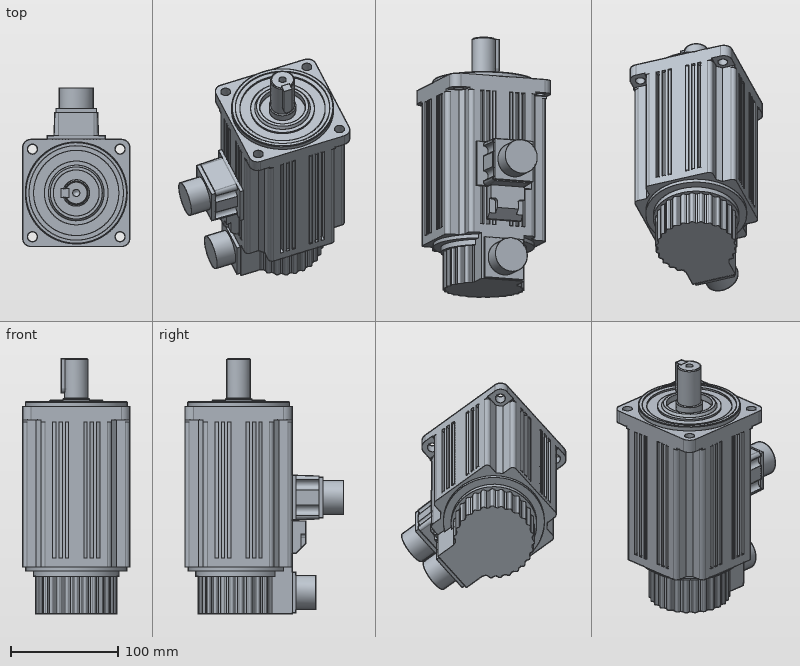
import cadquery as cq
import math


Z_TOP = 237.5
Z_BOSS = 199.0
Z_SHOULDER = 200.7
Z_PILOT = 197.5
Z_FLANGE = 193.0
Z_FLANGE_CORNER = 180.5
Z_GROOVE_TOP = 178.5
Z_GROOVE_BOTTOM = 52.0
Z_FRAME = 43.5
Z_COLLAR = 40.0
Z_DRUM = 35.0

SIDE = 100.0
HALF_SIDE = SIDE / 2
FLANGE_CORNER_R = 8.0
BOLT_SPACING = 81.5
BOLT_D = 9.0
PILOT_R = 47.5
PILOT_CHAMFER = 0.7
FACE_STEP = 1.2
FACE_RECESS = 1.7
FACE_OUTER_R = 44.0
FACE_INNER_R = 39.7
PLATFORM_R = 29.7
BOSS_BASE_R = 26.0
BOSS_TOP_R = 24.2
SEAL_BORE_R = 21.4
SEAL_BORE_DEPTH = 7.1
Z_BORE_FLOOR = Z_BOSS - SEAL_BORE_DEPTH

CORNER_EDGE_R = 4.0
NOTCH_WALL = 33.0
NOTCH_FACET = 37.5
GROOVE_FLOOR_R = 49.6
GROOVE_W = 3.0
GROOVE_PITCH = 6.0
FIRST_GROOVE_X = 8.5
GROOVES_PER_HALF = 3

SHAFT_D = 22.0
SHAFT_R = SHAFT_D / 2
SHAFT_CHAMFER = 1.0
SHOULDER_D = 24.7
SHOULDER_R = SHOULDER_D / 2
SHOULDER_CHAMFER = 0.7
SHOULDER_FOOT = 0.7
CENTRE_R = 3.3
CENTRE_DEPTH = 14.2
DRILL_ANGLE = 118
DRILL_POINT = CENTRE_R / math.tan(math.radians(DRILL_ANGLE / 2))
KEY_W = 8.0
KEY_H = 7.1
KEY_TOP = 14.0
KEY_LENGTH = 32.0

COLLAR_R = 47.0
NECK_R = 40.0
DRUM_ROOT_R = 35.9
DRUM_TOOTH_R = 37.8
TOOTH_COUNT = 27
TOOTH_OVERLAP = 2.4
TOOTH_BASE_HALF = 3.0
TOOTH_TOP_HALF = 1.78
TOOTH_SHOULDER_R = 36.8

PLATE_T = 3.3
SOCKET_R = 16.0
CAP_SIDE = 38.0
ENCODER_BOX_W = 42.3
ENCODER_BOX_Y = 23.8
ENCODER_Z = 20.0
ENCODER_SOCKET_Y = 72.0

POWER_Z = 108.3
POWER_PLATE_W = 54.2
HOUSING_BASE = 41.5
HOUSING_TOP = 40.1
HOUSING_FILLET = 4.0
CAP_Y = 74.8
CAP_T = 3.8
TOTAL_Y = 147.7
POWER_SOCKET_Y = TOTAL_Y - HALF_SIDE
FINGER_GROOVE_R = 4.8
FINGER_GROOVE_Z = 11.9

COVER_W = 33.2
COVER_Y = 62.7
COVER_Z_TOP = 86.7
COVER_Z_BOTTOM = 56.3
COVER_CHAMFER = 9.3
SEAT_Z = 74.3
SEAT_Y = 58.2
SEAT_W = 6.2
SEAT_R = 3.0


def cylinder(radius, z_low, z_high):
    """Cylinder on the motor axis between two heights."""
    return cq.Workplane("XY").workplane(offset=z_low).circle(radius).extrude(z_high - z_low)


def y_plane(y, z):
    """Workplane centred on a connector axis; its normal is -Y, so +Y is a negative extrusion."""
    return cq.Workplane("XZ", origin=(0, y, z))


def block_y(width, height, y_low, y_high, z):
    """Rectangular block along Y, centred on x = 0 and the given height."""
    return y_plane(y_low, z).rect(width, height).extrude(y_low - y_high)


def cylinder_y(radius, y_low, y_high, z):
    """Round socket along Y."""
    return y_plane(y_low, z).circle(radius).extrude(y_low - y_high)


def notched_square(z_low, z_high):
    """Square block whose four corners are notched down to a diagonal facet."""
    block = (
        cq.Workplane("XY").workplane(offset=z_low)
        .rect(SIDE, SIDE).extrude(z_high - z_low)
    )
    notch = (
        cq.Workplane("XY").workplane(offset=z_low)
        .moveTo(HALF_SIDE, NOTCH_WALL)
        .lineTo(NOTCH_FACET, NOTCH_WALL)
        .lineTo(NOTCH_WALL, NOTCH_FACET)
        .lineTo(NOTCH_WALL, HALF_SIDE)
        .lineTo(HALF_SIDE, HALF_SIDE)
        .close()
        .extrude(z_high - z_low)
    )
    for quarter in range(4):
        block = block.cut(notch.rotate((0, 0, 0), (0, 0, 1), 90 * quarter))
    return block


def frame_section():
    """Square frame with notched corners and rounded notch edges."""
    height = Z_GROOVE_TOP - Z_FRAME
    body = notched_square(Z_FRAME, Z_GROOVE_TOP)
    near, far = NOTCH_WALL, HALF_SIDE
    for sx in (-1, 1):
        for sy in (-1, 1):
            for x, y in ((near, far), (far, near)):
                edge = cq.selectors.NearestToPointSelector((sx * x, sy * y, Z_FRAME + height / 2))
                body = body.edges("|Z").edges(edge).fillet(CORNER_EDGE_R)
    return body


def frame_grooves():
    """Cooling grooves on the four sides, their floors on one cylinder."""
    height = Z_GROOVE_TOP - Z_GROOVE_BOTTOM
    centres = [
        (side * (FIRST_GROOVE_X + i * GROOVE_PITCH), HALF_SIDE)
        for side in (-1, 1)
        for i in range(GROOVES_PER_HALF)
    ]
    strips = (
        cq.Workplane("XY").workplane(offset=Z_GROOVE_BOTTOM)
        .pushPoints(centres).rect(GROOVE_W, HALF_SIDE).extrude(height)
        .cut(cylinder(GROOVE_FLOOR_R, Z_GROOVE_BOTTOM, Z_GROOVE_TOP))
    )
    return [strips.rotate((0, 0, 0), (0, 0, 1), 90 * quarter) for quarter in range(4)]


def flange():
    """Mounting flange with rounded corners and four bolt holes, on a sharp notched step."""
    plate = (
        cq.Workplane("XY").workplane(offset=Z_FLANGE_CORNER)
        .rect(SIDE, SIDE).extrude(Z_FLANGE - Z_FLANGE_CORNER)
        .edges("|Z").fillet(FLANGE_CORNER_R)
        .faces(">Z").workplane(origin=(0, 0, Z_FLANGE))
        .rect(BOLT_SPACING, BOLT_SPACING, forConstruction=True).vertices()
        .hole(BOLT_D)
    )
    return plate.union(notched_square(Z_GROOVE_TOP, Z_FLANGE_CORNER))


def front_end():
    """Turned pilot face, seal boss, seal bore and shaft in one revolved profile."""
    ring = Z_PILOT - FACE_STEP
    floor = ring - FACE_RECESS
    profile = [
        (0, Z_FLANGE_CORNER),
        (PILOT_R, Z_FLANGE_CORNER),
        (PILOT_R, Z_PILOT - PILOT_CHAMFER),
        (PILOT_R - PILOT_CHAMFER, Z_PILOT),
        (FACE_OUTER_R, Z_PILOT),
        (FACE_OUTER_R, ring),
        (FACE_INNER_R, ring),
        (FACE_INNER_R, floor),
        (PLATFORM_R, floor),
        (PLATFORM_R, ring),
        (BOSS_BASE_R, ring),
        (BOSS_TOP_R, Z_BOSS),
        (SEAL_BORE_R, Z_BOSS),
        (SEAL_BORE_R, Z_BORE_FLOOR),
        (SHOULDER_R + SHOULDER_FOOT, Z_BORE_FLOOR),
        (SHOULDER_R, Z_BORE_FLOOR + SHOULDER_FOOT),
        (SHOULDER_R, Z_SHOULDER - SHOULDER_CHAMFER),
        (SHAFT_R, Z_SHOULDER),
        (SHAFT_R, Z_TOP - SHAFT_CHAMFER),
        (SHAFT_R - SHAFT_CHAMFER, Z_TOP),
        (CENTRE_R, Z_TOP),
        (CENTRE_R, Z_TOP - CENTRE_DEPTH),
        (0, Z_TOP - CENTRE_DEPTH - DRILL_POINT),
    ]
    return cq.Workplane("XZ").polyline(profile).close().revolve(360, (0, 0, 0), (0, 1, 0))


def make_key():
    """Shaft key on the -X side, square at the shaft end and rounded at its lower end."""
    half = KEY_W / 2
    z_round = Z_TOP - KEY_LENGTH + half
    return (
        cq.Workplane("YZ", origin=(-KEY_TOP, 0, 0))
        .moveTo(-half, Z_TOP)
        .lineTo(-half, z_round)
        .threePointArc((0, z_round - half), (half, z_round))
        .lineTo(half, Z_TOP)
        .close()
        .extrude(KEY_H)
    )


def encoder_drum():
    """Collar, neck and toothed drum under the frame."""
    drum = cylinder(COLLAR_R, Z_COLLAR, Z_FRAME)
    drum = drum.union(cylinder(NECK_R, Z_DRUM, Z_COLLAR))
    drum = drum.union(cylinder(DRUM_ROOT_R, 0, Z_DRUM))
    inside = DRUM_ROOT_R - TOOTH_OVERLAP
    tooth = (
        cq.Workplane("XY")
        .moveTo(-TOOTH_BASE_HALF, -inside)
        .lineTo(-TOOTH_BASE_HALF, -DRUM_ROOT_R)
        .lineTo(-TOOTH_TOP_HALF, -TOOTH_SHOULDER_R)
        .threePointArc((0, -DRUM_TOOTH_R), (TOOTH_TOP_HALF, -TOOTH_SHOULDER_R))
        .lineTo(TOOTH_BASE_HALF, -DRUM_ROOT_R)
        .lineTo(TOOTH_BASE_HALF, -inside)
        .close()
        .extrude(Z_DRUM)
    )
    for i in range(TOOTH_COUNT):
        drum = drum.union(tooth.rotate((0, 0, 0), (0, 0, 1), 360 * i / TOOTH_COUNT))
    return drum


def encoder_connector():
    """Box beside the drum with a square plate and a round socket."""
    plate_y = HALF_SIDE + PLATE_T
    box = block_y(ENCODER_BOX_W, Z_FRAME, ENCODER_BOX_Y, HALF_SIDE, Z_FRAME / 2)
    plate = block_y(CAP_SIDE, CAP_SIDE, HALF_SIDE, plate_y, ENCODER_Z)
    socket = cylinder_y(SOCKET_R, plate_y, ENCODER_SOCKET_Y, ENCODER_Z)
    return box.union(plate).union(socket)


def power_connector():
    """Tapered housing with side grooves, between a base plate and a round socket."""
    plate_y = HALF_SIDE + PLATE_T
    length = CAP_Y - plate_y
    taper = math.degrees(math.atan((HOUSING_BASE - HOUSING_TOP) / 2 / length))
    plate = block_y(POWER_PLATE_W, HOUSING_BASE, HALF_SIDE, plate_y, POWER_Z)
    outline = cq.Sketch().rect(HOUSING_BASE, HOUSING_BASE).vertices().fillet(HOUSING_FILLET)
    housing = (
        cq.Workplane("XZ", origin=(0, plate_y, POWER_Z))
        .transformed(rotate=(180, 0, 0))
        .placeSketch(outline).extrude(length, taper=taper)
    )
    groove_places = [
        (sx * HOUSING_BASE / 2, sz * FINGER_GROOVE_Z) for sx in (-1, 1) for sz in (-1, 1)
    ]
    grooves = y_plane(plate_y, POWER_Z).pushPoints(groove_places).circle(FINGER_GROOVE_R).extrude(-length)
    cap = block_y(CAP_SIDE, CAP_SIDE, CAP_Y, CAP_Y + CAP_T, POWER_Z)
    socket = cylinder_y(SOCKET_R, CAP_Y + CAP_T, POWER_SOCKET_Y, POWER_Z)
    return plate.union(housing.cut(grooves)).union(cap).union(socket)


def cable_cover():
    """Cover under the power connector, with two screw seats in its lower corners."""
    half = COVER_W / 2
    height = COVER_Z_TOP - COVER_Z_BOTTOM
    cover = block_y(COVER_W, height, HALF_SIDE, COVER_Y, COVER_Z_BOTTOM + height / 2)
    cover = cover.edges(">Y and <Z").chamfer(COVER_CHAMFER)
    for side in (-1, 1):
        seat = (
            cq.Workplane("XY")
            .box(SEAT_W, COVER_Y - SEAT_Y, SEAT_Z - COVER_Z_BOTTOM, centered=(True, False, False))
            .translate((side * (half - SEAT_W / 2), SEAT_Y, COVER_Z_BOTTOM))
            .edges("|Y and >Z").edges(">X" if side < 0 else "<X").fillet(SEAT_R)
        )
        cover = cover.cut(seat)
    return cover


def make_motor(key):
    """Motor solid with a keyway that matches the key."""
    body = frame_section()
    for grooves in frame_grooves():
        body = body.cut(grooves)
    body = body.union(flange()).union(front_end())
    body = body.union(encoder_drum()).union(encoder_connector())
    body = body.union(power_connector()).union(cable_cover())
    return body.cut(key).solids()


key = make_key()
motor = make_motor(key)

result = cq.Compound.makeCompound([motor.val(), key.val()])